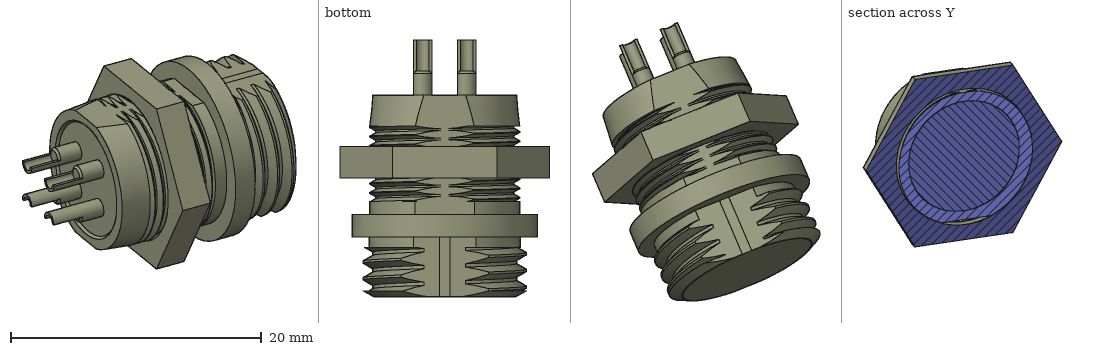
import cadquery as cq
import math


front_chamfer_end = 0.5
front_thread_end = 3.95
flange_front = 4.78
flange_back = 6.58
rear_thread_start = 7.63
nut_front = 9.47
nut_back = 12.01
rear_thread_end = 13.63
housing_back = 16.1
pin_shoulder = 17.84
pin_tip = 20.5

flats_apart = 11.03
flange_diameter = 14.8
front_face_diameter = 11.28
front_neck_diameter = 12.1
rear_neck_diameter = 12.0
back_face_diameter = 11.52

thread_overcut = 0.01
flank_angle = math.radians(30)
front_thread_diameter = 13.05
front_root_diameter = 11.52
front_pitch = 1.33
front_root_width = 0.27
front_groove_depth_at_top = 1.78
rear_thread_diameter = rear_neck_diameter
rear_root_diameter = 11.05
rear_pitch = 0.75
rear_root_width = 0.15
rear_groove_depth_at_top = 7.73

insert_strip_width = 0.8
plug_diameter = math.hypot(flats_apart, insert_strip_width)
insert_diameter = 9.4
insert_recess = 0.2
recess_mouth_diameter = 9.8

nut_across_corners = 16.75
nut_minor_diameter = 11.52
nut_mouth_diameter = 12.1

pin_diameter = 1.5
pin_spacing = 3.5
cup_diameter = 1.0
shoulder_chamfer = 0.18


def at_depth(depth):
    """Workplane across the axis at a depth; its local y is Z and it extrudes toward -Y."""
    return cq.Workplane("XZ", origin=(0, -depth, 0))


def rod(diameter, start, end):
    """Plain cylinder on the axis between two depths."""
    return at_depth(start).circle(diameter / 2).extrude(end - start)


def cone(start_diameter, end_diameter, start, end):
    """Truncated cone on the axis between two depths."""
    outline = [(0, -start), (start_diameter / 2, -start), (end_diameter / 2, -end), (0, -end)]
    return cq.Workplane("XY").polyline(outline).close().revolve(360, (0, 0, 0), (0, 1, 0))


def between_flats(body):
    """Trim a body to the two flats that face up and down."""
    slab = at_depth(0).rect(flange_diameter, flats_apart).extrude(housing_back)
    return body.intersect(slab)


def cut_thread(blank, outer_diameter, root_diameter, pitch, root_width, depth_at_top, start, end):
    """Cut a right-handed helical groove into a cylinder between two depths, one turn at a time."""
    root_radius = root_diameter / 2
    mouth_radius = outer_diameter / 2 + thread_overcut
    root_half = root_width / 2
    mouth_half = root_half + (mouth_radius - root_radius) * math.tan(flank_angle)

    profile = [
        (root_radius, -root_half),
        (mouth_radius, -mouth_half),
        (mouth_radius, mouth_half),
        (root_radius, root_half),
    ]
    helix = cq.Workplane(cq.Wire.makeHelix(pitch, pitch, root_radius))
    turn = cq.Workplane("XZ").polyline(profile).close().sweep(helix, isFrenet=True)
    turn = turn.rotate((0, 0, 0), (1, 0, 0), 90)

    depth_at_side = depth_at_top - pitch / 4
    first_turn = math.floor((start - mouth_half - depth_at_side) / pitch)
    last_turn = math.floor((end + mouth_half - depth_at_side) / pitch)
    for index in range(first_turn, last_turn + 1):
        blank = blank.cut(turn.translate((0, -depth_at_side - index * pitch, 0)))
    return blank


def cut_front_thread(blank, start, end):
    return cut_thread(
        blank, front_thread_diameter, front_root_diameter, front_pitch, front_root_width,
        front_groove_depth_at_top, start, end,
    )


def cut_rear_thread(blank, start, end):
    return cut_thread(
        blank, rear_thread_diameter, rear_root_diameter, rear_pitch, rear_root_width,
        rear_groove_depth_at_top, start, end,
    )


def make_housing():
    front_blank = between_flats(rod(front_thread_diameter, front_chamfer_end, front_thread_end))
    rear_blank = between_flats(rod(rear_thread_diameter, rear_thread_start, rear_thread_end))
    front_neck = rod(front_neck_diameter, front_thread_end, flange_back)
    rear_neck = rod(rear_neck_diameter, flange_back, rear_thread_start)
    nose = cone(front_face_diameter, front_thread_diameter, 0, front_chamfer_end)
    tail = cone(rear_thread_diameter, back_face_diameter, rear_thread_end, housing_back)
    body = (
        between_flats(front_neck.union(rear_neck))
        .union(rod(flange_diameter, flange_front, flange_back))
        .union(between_flats(nose))
        .union(between_flats(tail))
        .union(cut_front_thread(front_blank, front_chamfer_end, front_thread_end))
        .union(cut_rear_thread(rear_blank, rear_thread_start, rear_thread_end))
    )

    plug_bore = rod(plug_diameter, 0, flange_back)
    rear_bore = rod(insert_diameter, flange_back, housing_back)
    recess_mouth = cone(insert_diameter, recess_mouth_diameter, housing_back - insert_recess, housing_back)
    return body.cut(plug_bore).cut(rear_bore).cut(recess_mouth)


def make_insert():
    front_plug = between_flats(rod(plug_diameter, 0, flange_front))
    inner_plug = rod(plug_diameter, flange_front, flange_back)
    rear_plug = rod(insert_diameter, flange_back, housing_back - insert_recess)
    return front_plug.union(inner_plug).union(rear_plug)


def make_nut():
    """Hexagon nut whose thread fits into the groove of the housing's rear thread."""
    blank = at_depth(nut_front).polygon(6, nut_across_corners).extrude(nut_back - nut_front)
    blank = blank.cut(rod(nut_minor_diameter, nut_front, nut_back))
    lead_in_start = nut_back - (nut_mouth_diameter - nut_minor_diameter) / 2
    blank = blank.cut(cone(nut_minor_diameter, nut_mouth_diameter, lead_in_start, nut_back))
    bolt = rod(rear_thread_diameter, nut_front, nut_back)
    return blank.cut(cut_rear_thread(bolt, nut_front, nut_back))


def make_pin(x, z):
    """Solder pin with a half-open cup that faces away from the connector's axis."""
    start = housing_back - insert_recess
    shoulder_end = pin_shoulder + shoulder_chamfer
    shank = rod(pin_diameter, start, pin_shoulder)
    shoulder = cone(pin_diameter, pin_diameter - 2 * shoulder_chamfer, pin_shoulder, shoulder_end)
    lower_half = at_depth(pin_shoulder).center(0, -pin_diameter / 2)
    lower_half = lower_half.rect(pin_diameter, pin_diameter).extrude(pin_tip - pin_shoulder)
    trough = rod(pin_diameter, pin_shoulder, pin_tip).intersect(lower_half)
    trough = trough.cut(rod(cup_diameter, shoulder_end, pin_tip))
    pin = shank.union(shoulder).union(trough)
    if z < 0:
        pin = pin.rotate((0, 0, 0), (0, 1, 0), 180)
    return pin.translate((x, 0, z))


housing = make_housing()
insert = make_insert()
nut = make_nut()

pins = []
for x in (-pin_spacing / 2, pin_spacing / 2):
    for z in (-pin_spacing / 2, pin_spacing / 2):
        pins.append(make_pin(x, z).val())

result = cq.Compound.makeCompound([housing.val(), insert.val(), nut.val(), *pins])